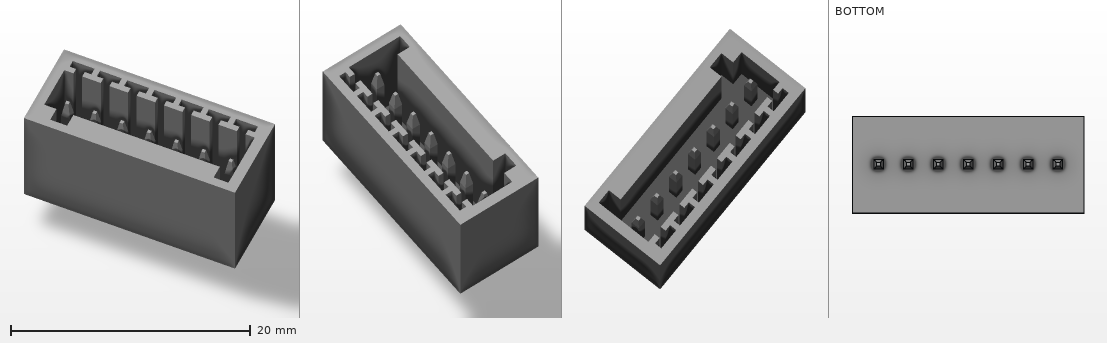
import cadquery as cq


LENGTH = 19.4
WIDTH = 8.1
HEIGHT = 10.1

END_WALL = 0.95
LONG_WALL = 2.02
FLOOR = END_WALL
CAVITY_HALF = LENGTH / 2 - END_WALL
CAVITY_FRONT = -WIDTH / 2 + LONG_WALL
CAVITY_BACK = WIDTH / 2 - LONG_WALL

KEYWAY_WALL = 0.75
KEYWAY_FRONT = -WIDTH / 2 + KEYWAY_WALL
LEFT_KEYWAY_WIDTH = 1.55
LEFT_KEYWAY_INSET = 1.13
RIGHT_KEYWAY_WIDTH = 1.35

SLOT_HEAD_WIDTH = 2.0
SLOT_NECK_WIDTH = 0.8
SLOT_HEAD_DEPTH = 0.65
SLOT_WALL = 0.83
SLOT_HEAD_BACK = WIDTH / 2 - SLOT_WALL
SLOT_HEAD_FRONT = SLOT_HEAD_BACK - SLOT_HEAD_DEPTH

PIN_COUNT = 7
PIN_PITCH = 2.5
PIN_SIDE = 0.8
PIN_TIP_SIDE = 0.31
PIN_TAPER = 1.5
PIN_Y = -0.05
PIN_BOTTOM = -3.2
PIN_TOP = 8.79
PIN_XS = [(i - (PIN_COUNT - 1) / 2) * PIN_PITCH for i in range(PIN_COUNT)]


def make_recess(x_min, x_max, y_min, y_max):
    """Rectangular cutter from the cavity floor to the top of the housing."""
    block = cq.Workplane("XY").box(x_max - x_min, y_max - y_min, HEIGHT - FLOOR, centered=False)
    return block.translate((x_min, y_min, FLOOR))


def make_t_slot(x):
    """T-shaped cutter: a narrow neck from the cavity into a wider head."""
    head = make_recess(
        x - SLOT_HEAD_WIDTH / 2, x + SLOT_HEAD_WIDTH / 2, SLOT_HEAD_FRONT, SLOT_HEAD_BACK
    )
    neck = make_recess(
        x - SLOT_NECK_WIDTH / 2, x + SLOT_NECK_WIDTH / 2, CAVITY_BACK, SLOT_HEAD_FRONT
    )
    return head.union(neck)


def make_taper(x, z_base, direction):
    """Pin end that narrows from z_base, upward (1) or downward (-1)."""
    return (
        cq.Workplane("XY", origin=(x, PIN_Y, z_base))
        .rect(PIN_SIDE, PIN_SIDE)
        .workplane(offset=direction * PIN_TAPER)
        .rect(PIN_TIP_SIDE, PIN_TIP_SIDE)
        .loft(ruled=True)
    )


def make_pin(x):
    """Square pin standing through the floor, tapered at both ends."""
    shank_bottom = PIN_BOTTOM + PIN_TAPER
    shank_top = PIN_TOP - PIN_TAPER
    shank = (
        cq.Workplane("XY", origin=(x, PIN_Y, shank_bottom))
        .rect(PIN_SIDE, PIN_SIDE)
        .extrude(shank_top - shank_bottom)
    )
    return shank.union(make_taper(x, shank_top, 1)).union(make_taper(x, shank_bottom, -1))


def make_housing(integral_pin_x, pins):
    """Shrouded housing with one integral pin and a matching hole for each separate pin."""
    housing = cq.Workplane("XY").box(LENGTH, WIDTH, HEIGHT, centered=(True, True, False))

    housing = housing.cut(make_recess(-CAVITY_HALF, CAVITY_HALF, CAVITY_FRONT, CAVITY_BACK))

    left_keyway_start = -CAVITY_HALF + LEFT_KEYWAY_INSET
    left_keyway_end = left_keyway_start + LEFT_KEYWAY_WIDTH
    right_keyway_start = CAVITY_HALF - RIGHT_KEYWAY_WIDTH
    housing = housing.cut(make_recess(left_keyway_start, left_keyway_end, KEYWAY_FRONT, CAVITY_FRONT))
    housing = housing.cut(make_recess(right_keyway_start, CAVITY_HALF, KEYWAY_FRONT, CAVITY_FRONT))

    for x in PIN_XS:
        housing = housing.cut(make_t_slot(x))

    housing = housing.union(make_pin(integral_pin_x))
    for pin in pins:
        housing = housing.cut(pin)
    return housing


pins = [make_pin(x) for x in PIN_XS[1:]]
housing = make_housing(PIN_XS[0], pins)

result = cq.Compound.makeCompound([housing.val(), *[pin.val() for pin in pins]])